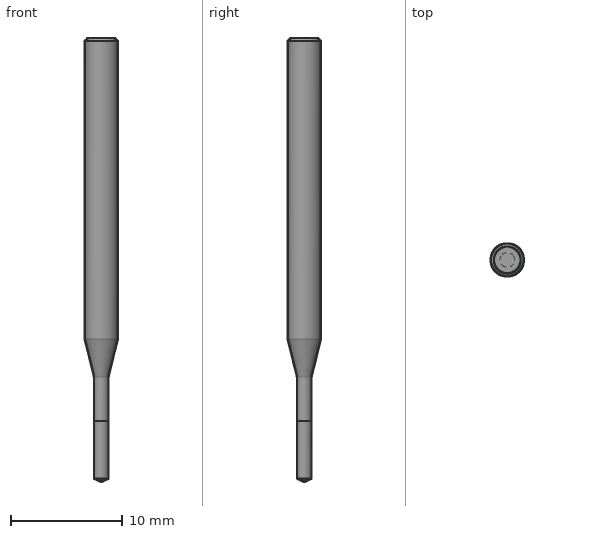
import cadquery as cq

total_length = 40.0
shank_radius = 3.0 / 2
shank_chamfer = 0.3
taper_top = 12.9
neck_top = 9.5
neck_radius = 1.3 / 2
cutter_top = 5.5
point_height = 0.3


def make_holder():
    """Chamfered shank, conical taper and slim neck, turned as one body."""
    profile = (
        cq.Workplane("YZ")
        .moveTo(0, cutter_top)
        .lineTo(-neck_radius, cutter_top)
        .lineTo(-neck_radius, neck_top)
        .lineTo(-shank_radius, taper_top)
        .lineTo(-shank_radius, total_length - shank_chamfer)
        .lineTo(-shank_radius + shank_chamfer, total_length)
        .lineTo(0, total_length)
        .close()
    )
    return profile.revolve(360, (0, 0, 0), (0, 1, 0))


def make_cutter():
    """Round cutting end with a conical point, flush with the neck it butts against."""
    profile = (
        cq.Workplane("XZ")
        .lineTo(-neck_radius, point_height)
        .lineTo(-neck_radius, cutter_top)
        .lineTo(0, cutter_top)
        .close()
    )
    return profile.revolve(360, (0, 0, 0), (0, 1, 0))


holder = make_holder()
cutter = make_cutter()
result = cq.Compound.makeCompound([holder.val(), cutter.val()])